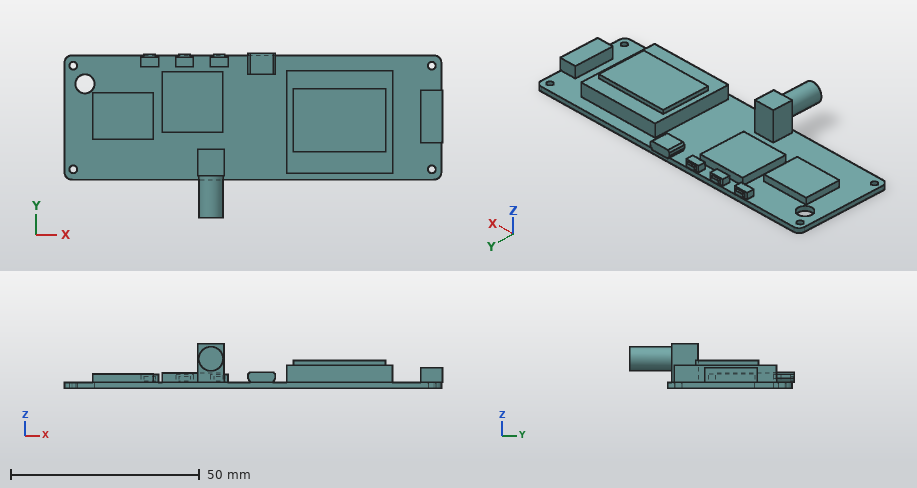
import cadquery as cq

board_length = 100.0
board_width = 33.0
board_thickness = 1.6
corner_radius = 2.0

mount_hole_diameter = 2.0
mount_hole_spacing_x = 95.1
mount_hole_spacing_y = 27.5
mount_hole_shift_x = -0.1
cable_hole_diameter = 5.0
cable_hole_x = -44.5
cable_hole_y = 8.9

gps_length, gps_width, gps_height = 16.0, 12.3, 2.2
gps_x, gps_y = -34.5, 0.4

lora_side, lora_height = 16.0, 2.5
lora_x, lora_y = -16.0, 4.1

display_length, display_width, display_height = 28.1, 27.2, 4.5
display_x, display_y = 23.0, -1.2
screen_length, screen_width, screen_thickness = 24.5, 16.6, 1.3
screen_y = -0.7

wifi_length, wifi_width, wifi_height = 5.8, 13.9, 3.9
wifi_overhang = 0.3
wifi_y = 0.3

connector_side, connector_height = 7.0, 10.2
connector_x, connector_y = -11.1, -11.9
barrel_diameter = 6.4
barrel_length = 11.1
barrel_drop = 4.0

usb_width, usb_depth, usb_height = 7.3, 5.6, 2.7
usb_overhang = 0.55
usb_x = 2.3
usb_bevel_width = 0.6
usb_top_bevel_height = 0.6
usb_bottom_bevel_height = 1.1

button_count = 3
button_pitch = 9.2
button_row_x = -18.1
button_length, button_depth, button_height = 4.7, 2.5, 2.1
button_setback = 0.5
plunger_length, plunger_height = 3.0, 1.2
plunger_overhang = 0.3
plunger_lift = 0.4

board_right_edge = board_length / 2
board_back_edge = board_width / 2


def block(length, width, height, x, y, base_z=board_thickness):
    """Box centred on (x, y) and standing on base_z."""
    base_plane = cq.Workplane("XY", origin=(x, y, base_z))
    return base_plane.box(length, width, height, centered=(True, True, False))


def make_board():
    mount_holes = (
        cq.Workplane("XY")
        .center(mount_hole_shift_x, 0)
        .rarray(mount_hole_spacing_x, mount_hole_spacing_y, 2, 2)
        .circle(mount_hole_diameter / 2)
        .extrude(board_thickness)
    )
    cable_hole = (
        cq.Workplane("XY")
        .center(cable_hole_x, cable_hole_y)
        .circle(cable_hole_diameter / 2)
        .extrude(board_thickness)
    )
    plate = block(board_length, board_width, board_thickness, 0, 0, base_z=0)
    return plate.edges("|Z").fillet(corner_radius).cut(mount_holes).cut(cable_hole)


def make_display():
    base = block(display_length, display_width, display_height, display_x, display_y)
    screen_base_z = board_thickness + display_height
    screen = block(screen_length, screen_width, screen_thickness, display_x, screen_y, screen_base_z)
    return base.union(screen)


def make_connector():
    body = block(connector_side, connector_side, connector_height, connector_x, connector_y)
    barrel_z = board_thickness + connector_height - barrel_drop
    front_face_y = connector_y - connector_side / 2
    barrel = (
        cq.Workplane("XZ", origin=(connector_x, front_face_y, barrel_z))
        .circle(barrel_diameter / 2)
        .extrude(barrel_length)
    )
    return body.union(barrel)


def make_usb_socket():
    half_width = usb_width / 2
    half_flat = half_width - usb_bevel_width
    top_bevel_z = usb_height - usb_top_bevel_height
    outline = [
        (-half_flat, 0),
        (half_flat, 0),
        (half_width, usb_bottom_bevel_height),
        (half_width, top_bevel_z),
        (half_flat, usb_height),
        (-half_flat, usb_height),
        (-half_width, top_bevel_z),
        (-half_width, usb_bottom_bevel_height),
    ]
    back_y = board_back_edge + usb_overhang
    back_plane = cq.Workplane("XZ", origin=(usb_x, back_y, board_thickness))
    return back_plane.polyline(outline).close().extrude(usb_depth)


def make_wifi_antenna():
    x = board_right_edge + wifi_overhang - wifi_length / 2
    return block(wifi_length, wifi_width, wifi_height, x, wifi_y)


def make_button(x):
    body_back_y = board_back_edge - button_setback
    body = block(button_length, button_depth, button_height, x, body_back_y - button_depth / 2)
    plunger_depth = button_setback + plunger_overhang
    plunger_y = body_back_y + plunger_depth / 2
    plunger_base_z = board_thickness + plunger_lift
    plunger = block(plunger_length, plunger_depth, plunger_height, x, plunger_y, plunger_base_z)
    return body.union(plunger)


result = (
    make_board()
    .union(block(gps_length, gps_width, gps_height, gps_x, gps_y))
    .union(block(lora_side, lora_side, lora_height, lora_x, lora_y))
    .union(make_display())
    .union(make_connector())
    .union(make_usb_socket())
    .union(make_wifi_antenna())
)

for index in range(button_count):
    offset = (index - (button_count - 1) / 2) * button_pitch
    result = result.union(make_button(button_row_x + offset))